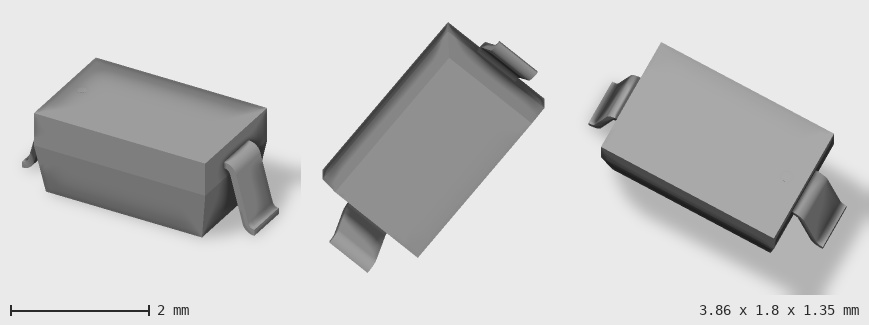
import cadquery as cq
import math

overall_length = 3.86
body_length = 2.85
body_width = 1.8
body_height = 1.347
shoulder_height = 0.805
taper_inset = 0.127

lead_width = 0.71
lead_thickness = 0.1
lead_top = 1.09
bend_inner_radius = 0.1
leg_lean = 15.0

mark_diameter = 0.143
mark_thickness = 0.005
mark_end_offset = 0.285

bend_outer_radius = bend_inner_radius + lead_thickness
bend_angle = 90.0 - leg_lean
lower_bend_z = bend_outer_radius
upper_bend_z = lead_top - bend_outer_radius
bend_radius_sum = bend_inner_radius + bend_outer_radius
lean = math.radians(leg_lean)
bend_spacing = (bend_radius_sum + (upper_bend_z - lower_bend_z) * math.sin(lean)) / math.cos(lean)
flat_length = ((overall_length - body_length) / 2 - bend_spacing) / 2
lower_bend_x = -overall_length / 2 + flat_length
upper_bend_x = -body_length / 2 - flat_length


def make_housing():
    """Box-shaped upper half over a lower half that tapers to the underside."""
    upper = (
        cq.Workplane("XY", origin=(0, 0, shoulder_height))
        .rect(body_length, body_width)
        .extrude(body_height - shoulder_height)
    )
    lower = (
        cq.Workplane("XY")
        .rect(body_length - 2 * taper_inset, body_width - 2 * taper_inset)
        .workplane(offset=shoulder_height)
        .rect(body_length, body_width)
        .loft(ruled=True)
    )
    return upper.union(lower)


def lower_bend_point(radius, turn):
    """Point on the foot bend, turned this many degrees from its lowest point."""
    angle = math.radians(turn)
    return lower_bend_x + radius * math.sin(angle), lower_bend_z - radius * math.cos(angle)


def upper_bend_point(radius, turn):
    """Point on the shoulder bend, turned this many degrees from its highest point."""
    angle = math.radians(turn)
    return upper_bend_x - radius * math.sin(angle), upper_bend_z + radius * math.cos(angle)


def make_lead():
    """Bent strip at the -X end, from the foot tip to the face of the body."""
    tip_x = -overall_length / 2
    body_x = -body_length / 2
    half_bend = bend_angle / 2
    return (
        cq.Workplane("XZ")
        .moveTo(tip_x, 0)
        .lineTo(*lower_bend_point(bend_outer_radius, 0))
        .threePointArc(
            lower_bend_point(bend_outer_radius, half_bend),
            lower_bend_point(bend_outer_radius, bend_angle),
        )
        .lineTo(*upper_bend_point(bend_inner_radius, bend_angle))
        .threePointArc(
            upper_bend_point(bend_inner_radius, half_bend),
            upper_bend_point(bend_inner_radius, 0),
        )
        .lineTo(body_x, lead_top - lead_thickness)
        .lineTo(body_x, lead_top)
        .lineTo(*upper_bend_point(bend_outer_radius, 0))
        .threePointArc(
            upper_bend_point(bend_outer_radius, half_bend),
            upper_bend_point(bend_outer_radius, bend_angle),
        )
        .lineTo(*lower_bend_point(bend_inner_radius, bend_angle))
        .threePointArc(
            lower_bend_point(bend_inner_radius, half_bend),
            lower_bend_point(bend_inner_radius, 0),
        )
        .lineTo(tip_x, lead_thickness)
        .close()
        .extrude(lead_width / 2, both=True)
    )


def make_polarity_mark():
    """Thin disc on the top face near the -X end."""
    return (
        cq.Workplane("XY", origin=(-body_length / 2 + mark_end_offset, 0, body_height))
        .circle(mark_diameter / 2)
        .extrude(mark_thickness)
    )


housing = make_housing()
polarity_mark = make_polarity_mark()
leads = []
for end_rotation in (0, 180):
    lead = make_lead().rotate((0, 0, 0), (0, 0, 1), end_rotation)
    leads.append(lead.solids().val())

result = cq.Compound.makeCompound([housing.solids().val(), polarity_mark.val(), *leads])